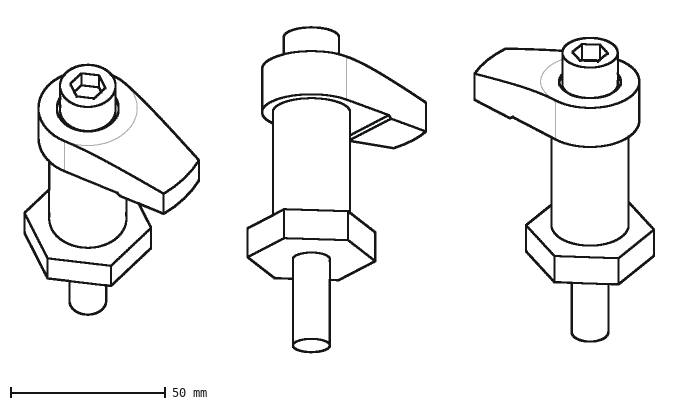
import cadquery as cq
import math

stud_length = 30.0
nut_height = 10.1
neck_height = 1.0
sleeve_length = 40.0
collar_height = 15.0
head_exposed = 11.0

nut_bottom = stud_length
nut_top = nut_bottom + nut_height
sleeve_bottom = nut_top + neck_height
collar_bottom = sleeve_bottom + sleeve_length
collar_top = collar_bottom + collar_height
head_top = collar_top + head_exposed

screw_diameter = 12.0
head_diameter = 18.0
socket_flats = 10.0
socket_depth = 6.0
nut_flats = 36.0
neck_diameter = 19.3
sleeve_diameter = 25.0
collar_diameter = 32.0
recess_diameter = 20.0
recess_depth = 1.0
recess_floor = collar_top - recess_depth

arm_reach = 39.9
arm_side_angle = 10.4
arm_tip_drop = 5.9
pad_start = 22.0
pad_depth = 1.0


def cylinder(diameter, bottom, top):
    return cq.Workplane("XY").workplane(offset=bottom).circle(diameter / 2).extrude(top - bottom)


def hexagon(flats, bottom, top):
    """Hexagonal prism with two corners on the Y axis."""
    corner_diameter = flats / math.cos(math.radians(30))
    prism = cq.Workplane("XY").workplane(offset=bottom).polygon(6, corner_diameter).extrude(top - bottom)
    return prism.rotate((0, 0, 0), (0, 0, 1), 90)


def make_screw():
    shank = cylinder(screw_diameter, 0, recess_floor)
    head = cylinder(head_diameter, recess_floor, head_top)
    socket = hexagon(socket_flats, head_top - socket_depth, head_top)
    return shank.union(head).cut(socket)


def make_nut():
    """Hexagonal nut with a low round neck that the sleeve rests on."""
    body = hexagon(nut_flats, nut_bottom, nut_top)
    neck = cylinder(neck_diameter, nut_top, sleeve_bottom)
    bore = cylinder(screw_diameter, nut_bottom, sleeve_bottom)
    return body.union(neck).cut(bore)


def make_arm():
    """Tapered hook: a disc with a conical rim, trimmed by the side faces and the underside."""
    collar_radius = collar_diameter / 2
    pad_bottom = collar_bottom - pad_depth
    disc = (
        cq.Workplane("XZ")
        .moveTo(0, pad_bottom)
        .lineTo(arm_reach, pad_bottom)
        .lineTo(arm_reach, collar_top - arm_tip_drop)
        .lineTo(collar_radius, collar_top)
        .lineTo(0, collar_top)
        .close()
        .revolve(360, (0, 0, 0), (0, 1, 0))
    )

    side_angle = math.radians(arm_side_angle)
    tangent_x = collar_radius * math.sin(side_angle)
    tangent_y = collar_radius * math.cos(side_angle)
    end_y = tangent_y - (arm_reach - tangent_x) * math.tan(side_angle)
    plan = (
        cq.Workplane("XY")
        .workplane(offset=pad_bottom)
        .polyline([
            (0, 0),
            (tangent_x, -tangent_y),
            (arm_reach, -end_y),
            (arm_reach, end_y),
            (tangent_x, tangent_y),
        ])
        .close()
        .extrude(collar_top - pad_bottom)
    )

    under_cut = (
        cq.Workplane("XZ")
        .polyline([
            (0, collar_bottom),
            (pad_start, collar_bottom),
            (pad_start + pad_depth, pad_bottom),
            (0, pad_bottom),
        ])
        .close()
        .extrude(collar_radius, both=True)
    )
    return disc.intersect(plan).cut(under_cut)


def make_clamp():
    """Hook arm, collar and sleeve in one piece, bored for the screw."""
    sleeve = cylinder(sleeve_diameter, sleeve_bottom, collar_bottom)
    collar = cylinder(collar_diameter, collar_bottom, collar_top)
    bore = cylinder(screw_diameter, sleeve_bottom, collar_top)
    head_recess = cylinder(recess_diameter, recess_floor, collar_top)
    return sleeve.union(collar).union(make_arm()).cut(bore).cut(head_recess)


screw = make_screw()
nut = make_nut()
clamp = make_clamp()

result = cq.Compound.makeCompound([screw.val(), nut.val(), clamp.val()])